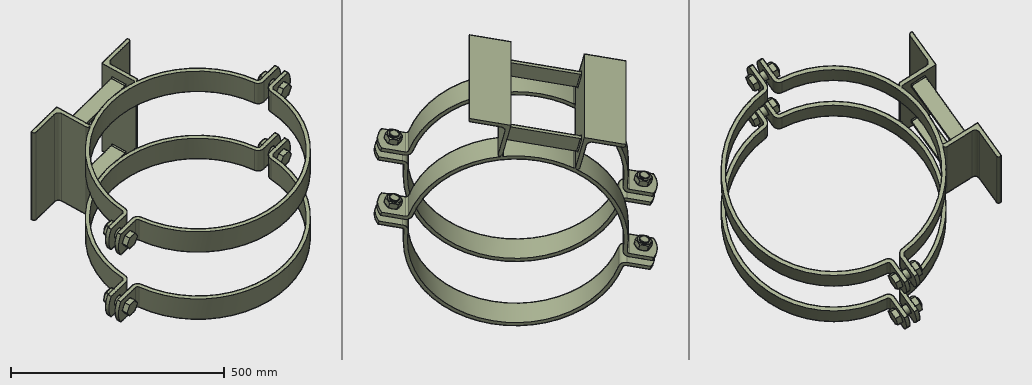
import cadquery as cq
import math

plate = 10.0
ring_outer_radius = 264.0
ring_inner_radius = ring_outer_radius - plate
strap_height = 70.0
total_length = 612.0
total_height = 300.0
ear_gap = 18.0
ear_tip_y = 336.0
ear_tip_radius = strap_height
bend_radius = 7.0

bolt_y = 300.5
bolt_diameter = 24.0
bolt_tip_diameter = 22.0
hole_diameter = 27.0
hex_across_flats = 36.0
nut_face_diameter = 33.0
nut_height = 19.0
head_height = 14.0
bolt_protrusion = 3.5
nut_chamfer_slope = math.tan(math.radians(30))
hex_corners = hex_across_flats / math.cos(math.pi / 6)

angle_leg = 100.0
angle_root_radius = 12.0
angle_toe_radius = 6.0
angle_spacing = 176.0
bracket_back_x = ring_outer_radius - total_length
bar_width = 40.0
bar_offset = 30.0
weld_leg = 3.0

strap_mid_z = (total_height - strap_height) / 2
ear_inner_x = ear_gap / 2
ear_outer_x = ear_inner_x + plate
angle_face_y = angle_spacing / 2


def half_strap():
    """Half ring on the +X side with an ear at each end, centred on Z = 0."""
    bend_x = ear_outer_x + bend_radius
    bend_center_distance = ring_outer_radius + bend_radius
    bend_y = math.sqrt(bend_center_distance**2 - bend_x**2)
    bend_direction = math.atan2(bend_y, bend_x)

    def on_ring(radius):
        return (radius * math.cos(bend_direction), radius * math.sin(bend_direction))

    def on_bend(radius):
        middle = math.pi + bend_direction / 2
        return (bend_x + radius * math.cos(middle), bend_y + radius * math.sin(middle))

    def mirrored(point):
        return (point[0], -point[1])

    inner_end = on_ring(ring_inner_radius)
    outer_end = on_ring(ring_outer_radius)
    inner_bend = on_bend(bend_radius + plate)
    outer_bend = on_bend(bend_radius)
    strap = (
        cq.Workplane("XY")
        .moveTo(ear_inner_x, ear_tip_y)
        .lineTo(ear_inner_x, bend_y)
        .threePointArc(inner_bend, inner_end)
        .threePointArc((ring_inner_radius, 0), mirrored(inner_end))
        .threePointArc(mirrored(inner_bend), (ear_inner_x, -bend_y))
        .lineTo(ear_inner_x, -ear_tip_y)
        .lineTo(ear_outer_x, -ear_tip_y)
        .lineTo(ear_outer_x, -bend_y)
        .threePointArc(mirrored(outer_bend), mirrored(outer_end))
        .threePointArc((ring_outer_radius, 0), outer_end)
        .threePointArc(outer_bend, (ear_outer_x, bend_y))
        .lineTo(ear_outer_x, ear_tip_y)
        .close()
        .extrude(strap_height / 2, both=True)
    )

    half_height = strap_height / 2
    arch_height = ear_tip_radius - math.sqrt(ear_tip_radius**2 - half_height**2)
    shoulder_y = ear_tip_y - arch_height
    side_outline = (
        cq.Workplane("YZ")
        .moveTo(-shoulder_y, -half_height)
        .lineTo(shoulder_y, -half_height)
        .threePointArc((ear_tip_y, 0), (shoulder_y, half_height))
        .lineTo(-shoulder_y, half_height)
        .threePointArc((-ear_tip_y, 0), (-shoulder_y, -half_height))
        .close()
        .extrude(ring_outer_radius)
    )
    holes = (
        cq.Workplane("YZ")
        .pushPoints([(-bolt_y, 0), (bolt_y, 0)])
        .circle(hole_diameter / 2)
        .extrude(ear_outer_x)
    )
    return strap.intersect(side_outline).cut(holes)


def bolt():
    """Bolt, head and nut along X; the head is on the +X ear, the nut on the -X ear."""
    nut_end_x = -ear_outer_x - nut_height
    tip_x = nut_end_x - bolt_protrusion

    def hexagon(start_x, length):
        return cq.Workplane("YZ", origin=(start_x, 0, 0)).polygon(6, hex_corners).extrude(length)

    head = hexagon(ear_outer_x, head_height)
    shank = (
        cq.Workplane("YZ", origin=(tip_x, 0, 0))
        .circle(bolt_diameter / 2)
        .extrude(ear_outer_x - tip_x)
        .faces("<X")
        .chamfer((bolt_diameter - bolt_tip_diameter) / 2)
    )

    face_radius = nut_face_diameter / 2
    corner_radius = hex_corners / 2
    chamfer_length = (corner_radius - face_radius) * nut_chamfer_slope
    envelope = (
        cq.Workplane("XY")
        .moveTo(-ear_outer_x, 0)
        .lineTo(-ear_outer_x, face_radius)
        .lineTo(-ear_outer_x - chamfer_length, corner_radius)
        .lineTo(nut_end_x + chamfer_length, corner_radius)
        .lineTo(nut_end_x, face_radius)
        .lineTo(nut_end_x, 0)
        .close()
        .revolve(360, (0, 0, 0), (1, 0, 0))
    )
    nut = hexagon(nut_end_x, nut_height).intersect(envelope)
    return shank.union(head).union(nut)


def mounting_angle():
    """Full-height angle on the +Y side, with its heel towards the mid plane."""
    profile = (
        cq.Workplane("XY", origin=(bracket_back_x, angle_face_y, -total_height / 2))
        .lineTo(angle_leg, 0)
        .lineTo(angle_leg, plate)
        .lineTo(plate, plate)
        .lineTo(plate, angle_leg)
        .lineTo(0, angle_leg)
        .close()
        .extrude(total_height)
    )
    root_x = bracket_back_x + plate
    root_y = angle_face_y + plate
    toe_x = bracket_back_x + angle_leg
    toe_y = angle_face_y + angle_leg
    root_edge = cq.selectors.NearestToPointSelector((root_x, root_y, 0))
    leg_toe_edge = cq.selectors.NearestToPointSelector((toe_x, root_y, 0))
    flange_toe_edge = cq.selectors.NearestToPointSelector((root_x, toe_y, 0))
    return (
        profile
        .edges(root_edge).fillet(angle_root_radius)
        .edges(leg_toe_edge).fillet(angle_toe_radius)
        .edges(flange_toe_edge).fillet(angle_toe_radius)
    )


def spacer_bar():
    """Flat bar between the angles, with weld beads above and below both ends."""
    end_y = angle_face_y
    top_z = plate / 2
    bead_z = top_z + weld_leg
    bead_y = end_y - weld_leg
    return (
        cq.Workplane("YZ", origin=(bracket_back_x + bar_offset, 0, 0))
        .polyline([
            (-end_y, -bead_z), (-bead_y, -top_z), (bead_y, -top_z), (end_y, -bead_z),
            (end_y, bead_z), (bead_y, top_z), (-bead_y, top_z), (-end_y, bead_z),
        ])
        .close()
        .extrude(bar_width)
    )


def ring_weld():
    """Weld bead in the corner between the strap and the +Y angle, centred on Z = 0."""
    def ring_x(y):
        return -math.sqrt(ring_outer_radius**2 - y**2)

    bead_y = angle_face_y - weld_leg
    corner_x = ring_x(angle_face_y)
    return (
        cq.Workplane("XY")
        .moveTo(corner_x - weld_leg, angle_face_y)
        .lineTo(ring_x(bead_y), bead_y)
        .lineTo(corner_x + plate / 2, bead_y)
        .lineTo(corner_x + plate / 2, angle_face_y)
        .close()
        .extrude(strap_height / 2, both=True)
    )


def clamp_level():
    """Everything found at one strap level, centred on Z = 0."""
    strap = half_strap()
    weld = ring_weld()
    level = strap.union(strap.mirror("YZ"))
    level = level.union(weld).union(weld.mirror("XZ")).union(spacer_bar())
    for side in (-1, 1):
        level = level.union(bolt().translate((0, side * bolt_y, 0)))
    return level


angle = mounting_angle()
result = angle.union(angle.mirror("XZ"))
for side in (-1, 1):
    result = result.union(clamp_level().translate((0, 0, side * strap_mid_z)))